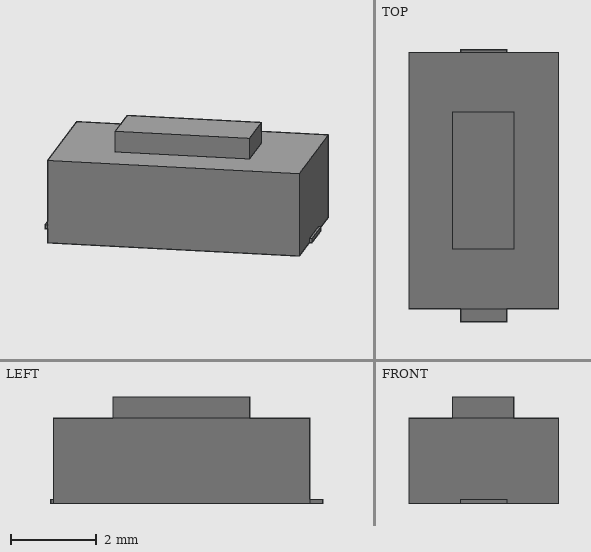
import cadquery as cq

body_width = 3.5
body_length = 6.0
body_height = 2.0

button_width = 1.44
button_length = 3.2
button_height = 0.5
button_offset_x = -0.015
button_offset_y = 0.005

terminal_width = 1.08
terminal_thickness = 0.1
front_terminal_reach = 0.3
back_terminal_reach = 0.06


def block(width, length, height, base_z=0.0):
    """Rectangular block centred on X and Y, rising from base_z."""
    return (
        cq.Workplane("XY")
        .box(width, length, height, centered=(True, True, False))
        .translate((0, 0, base_z))
    )


def make_terminals():
    """One strip, flush with the housing base, that projects past both end faces."""
    strip_length = front_terminal_reach + body_length + back_terminal_reach
    strip_center_y = (back_terminal_reach - front_terminal_reach) / 2
    strip = block(terminal_width, strip_length, terminal_thickness)
    return strip.translate((0, strip_center_y, 0))


body = block(body_width, body_length, body_height)
button = block(button_width, button_length, button_height, base_z=body_height)
button = button.translate((button_offset_x, button_offset_y, 0))

result = body.union(button).union(make_terminals())